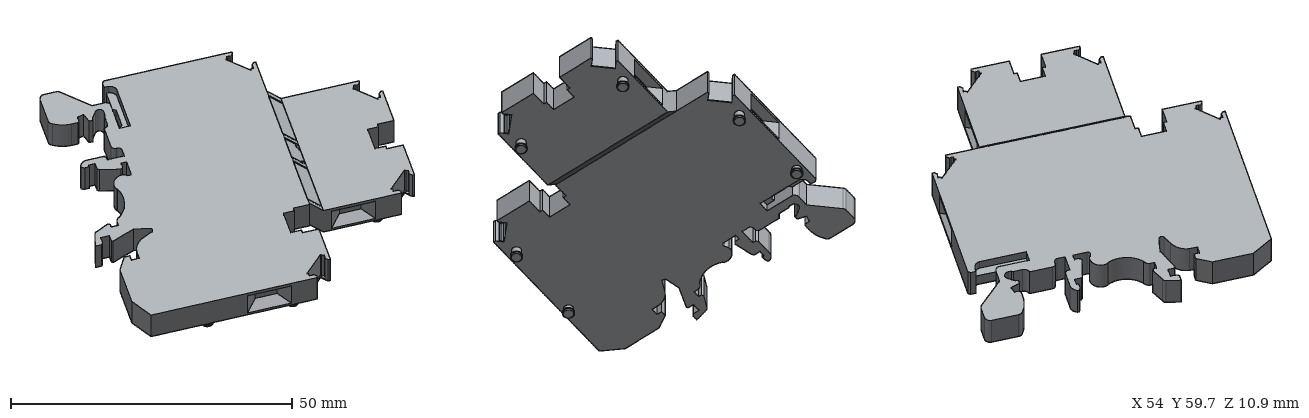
import cadquery as cq
import math


WIDTH = 54.0
HEIGHT = 59.7
THICKNESS = 6.0
LEVEL_STEP = 3.0
BASE_TOP = 39.2
TOWER_WIDTH = 26.85
TOWER_CENTRE = -3.2
RAMP_HEIGHT = 2.6

SIDE = WIDTH / 2
TOWER_SIDE = TOWER_WIDTH / 2
TOWER_FACE = THICKNESS - LEVEL_STEP
RAMP_TOP = BASE_TOP + RAMP_HEIGHT

NOTCH_LIP = 3.4
NOTCH_LIP_FLAT = 0.4
NOTCH_TIP = (4.55, 1.5)
NOTCH_FLOOR = 0.25
UNDERCUT_HALF = [(3.9, 0.9), (4.2, 0.8), (4.65, 0.8), (4.65, 1.25), (4.95, 1.4)]

SLOT_WIDTH = 5.85
SLOT_STEP_DEPTH = 3.05
SLOT_NECK_WIDTH = 4.6
SLOT_DEPTH = 5.1
BASE_SLOT_CENTRE = 13.45

FUNNEL_DROP = 12.3
FUNNEL_WIDTH = 8.1
FUNNEL_INNER_WIDTH = 4.05
FUNNEL_BOTTOM = 0.55
FUNNEL_TOP = 5.3
FUNNEL_FLOOR_RISE = 1.0
FUNNEL_DEPTH = 2.0

RECESS_DEPTH = 0.3
RECESS_CENTRE_HALF = 2.3
RECESS_OUTER = (3.3, 12.4)
RECESS_POCKET_WIDTHS = (1.1, 0.65)
RECESS_POCKET_HEIGHT = 0.6

PIN_DIAMETER = 1.85
PIN_LIP_DIAMETER = 2.2
PIN_LIP_HEIGHT = 0.3
PIN_END_TAPER = 0.2
PIN_LENGTH = 1.95
PIN_SHORT_LENGTH = 1.45
PIN_INSET = 2.0
PIN_SHORT_INSET = 1.45
PIN_DROP = 7.45
PIN_SHORT_Y = 15.8

ROOF = 10.75
CATCH = 5.25
KEEL = 2.6
ARM_TOP = 11.7
ARM_BOTTOM = 9.9

RELEASE_LEFT = -25.55
RELEASE_RIGHT = -15.75
RELEASE_TOP = 13.75
RELEASE_FACE_DEPTH = 1.8

LOBE_CENTRE = (-3.35, 9.15)
LOBE_RADIUS = 2.0
ARCH_CENTRE = (-0.3, 2.6)
ARCH_RADIUS = 5.25


def on_circle(centre, radius, degrees):
    angle = math.radians(degrees)
    return (centre[0] + radius * math.cos(angle), centre[1] + radius * math.sin(angle))


def lines(path, points):
    for x, y in points:
        path = path.lineTo(x, y)
    return path



def trace_right_foot(path):
    path = lines(path, [(SIDE, 5.0), (23.05, KEEL), (15.45, KEEL), (12.85, 4.2), (12.85, CATCH)])
    path = lines(path, [(13.85, CATCH), (13.85, 6.7), (12.4, 6.7)])
    path = path.threePointArc((10.55, 7.4), (9.5, 8.8))
    return path.lineTo(8.7, 10.45)


def trace_right_hook(path):
    path = path.threePointArc((8.25, ROOF), (7.8, 10.45))
    path = lines(path, [(7.15, 7.6), (8.8, 3.35), (8.6, 3.05), (7.4, 3.05), (7.4, 1.45)])
    path = lines(path, [(8.6, 1.45), (9.0, 1.15), (9.0, 0.0), (6.3, 0.65)])
    path = path.threePointArc((6.0, 0.85), (5.85, 1.2))
    path = lines(path, [(4.7, 3.5), (4.95, 3.95), (5.55, 3.95), (5.55, CATCH)])
    path = path.lineTo(4.65, CATCH)
    return path.threePointArc((4.2, 5.45), on_circle(ARCH_CENTRE, ARCH_RADIUS, 40))


def trace_arches(path):
    path = path.threePointArc(
        on_circle(ARCH_CENTRE, ARCH_RADIUS, 75),
        on_circle(ARCH_CENTRE, ARCH_RADIUS, 114),
    )
    path = path.lineTo(*on_circle(LOBE_CENTRE, LOBE_RADIUS, 296))
    path = path.threePointArc(
        on_circle(LOBE_CENTRE, LOBE_RADIUS, 235),
        on_circle(LOBE_CENTRE, LOBE_RADIUS, 175),
    )
    path = path.lineTo(-4.95, 10.0)
    return path.threePointArc((-4.95, 10.5), (-5.4, ROOF))


def trace_centre_hook(path):
    path = lines(path, [(-8.0, ROOF), (-8.0, 9.75), (-7.05, 9.75), (-6.7, 9.3), (-7.65, 5.6)])
    path = lines(path, [(-7.95, CATCH), (-9.2, CATCH), (-9.2, 4.05), (-8.8, 4.05)])
    path = lines(path, [(-8.8, 3.2), (-9.0, KEEL), (-9.4, KEEL)])
    path = path.threePointArc((-10.1, 3.15), (-10.4, 4.1))
    return lines(path, [(-10.4, 7.2), (-10.0, 7.6), (-9.45, 7.65), (-9.45, ROOF)])


def trace_spring_foot(path):
    path = path.lineTo(-10.9, ROOF)
    path = path.threePointArc((-11.35, 10.5), (-11.5, 9.9))
    path = path.threePointArc((-11.7, 9.3), (-12.2, 9.1))
    path = path.lineTo(-16.5, 9.1)
    path = path.threePointArc((-16.85, 9.7), (-17.5, ARM_BOTTOM))
    path = lines(path, [(-19.2, ARM_BOTTOM), (-19.5, 10.1), (-20.2, 10.1)])
    path = path.threePointArc((-20.9, 9.55), (-20.7, 8.7))
    path = lines(path, [(-19.4, 7.75), (-18.85, 7.7), (-18.85, 7.0), (-20.6, 6.45), (-20.3, CATCH)])
    path = lines(path, [(-19.35, CATCH), (-19.1, 5.0), (-19.1, 3.8)])
    path = path.threePointArc((-19.35, 2.15), (-20.1, 0.55))
    path = path.threePointArc((-20.5, 0.1), (-20.95, 0.0))
    path = path.lineTo(-25.95, 0.0)
    path = path.threePointArc((-26.7, 0.3), (-SIDE, 1.1))
    path = path.lineTo(-SIDE, 3.3)
    path = path.threePointArc((-26.9, 3.65), (-26.75, 3.9))
    path = lines(path, [(-22.15, 8.5), (-22.15, 10.6)])
    path = path.threePointArc((-21.95, 11.35), (-21.5, ARM_TOP))
    return path.lineTo(RELEASE_RIGHT, ARM_TOP)


def trace_release_roof(path):
    path = lines(path, [(RELEASE_RIGHT, RELEASE_TOP), (-24.4, RELEASE_TOP)])
    return path.threePointArc((-25.2, 13.3), (RELEASE_LEFT, 12.5))


def trace_release_slot(path):
    path = trace_release_roof(path)
    path = lines(path, [(RELEASE_LEFT, ARM_TOP), (-26.6, ARM_TOP)])
    return path.lineTo(-SIDE, 12.05)


def base_level():
    path = cq.Workplane("XY").moveTo(-SIDE, BASE_TOP).lineTo(SIDE, BASE_TOP)
    path = trace_right_foot(path)
    path = trace_right_hook(path)
    path = trace_arches(path)
    path = trace_centre_hook(path)
    path = trace_spring_foot(path)
    path = trace_release_slot(path)
    return path.close().extrude(THICKNESS)


def release_web():
    """Mid-thickness web that fills the release slot, open along the spring arm."""
    path = cq.Workplane("XY", origin=(0, 0, RELEASE_FACE_DEPTH)).moveTo(RELEASE_LEFT, 12.1)
    path = lines(path, [(-21.75, 12.1), (-21.3, 12.7), (-17.8, 12.7), (-17.25, 12.25), (-17.45, ARM_TOP)])
    path = trace_release_roof(path.lineTo(RELEASE_RIGHT, ARM_TOP))
    return path.close().extrude(THICKNESS - 2 * RELEASE_FACE_DEPTH)



def tower_level():
    side_profile = [
        (BASE_TOP, 0),
        (BASE_TOP, THICKNESS),
        (RAMP_TOP, TOWER_FACE),
        (HEIGHT, TOWER_FACE),
        (HEIGHT, -LEVEL_STEP),
        (RAMP_TOP, -LEVEL_STEP),
    ]
    tower = cq.Workplane("YZ", origin=(TOWER_CENTRE - TOWER_SIDE, 0, 0))
    return tower.polyline(side_profile).close().extrude(TOWER_WIDTH)


def ramp_recess(x_start, x_end):
    """Shallow recess with its floor parallel to the sloped joint."""
    profile = [
        (BASE_TOP, THICKNESS),
        (RAMP_TOP, TOWER_FACE),
        (RAMP_TOP, TOWER_FACE - RECESS_DEPTH),
        (BASE_TOP, THICKNESS - RECESS_DEPTH),
    ]
    recess = cq.Workplane("YZ", origin=(TOWER_CENTRE + x_start, 0, 0))
    return recess.polyline(profile).close().extrude(x_end - x_start)


def ramp_corner_pocket(direction):
    """Flat-bottomed pocket with one slanted side in an upper corner of the centre recess."""
    corner = TOWER_CENTRE + direction * RECESS_CENTRE_HALF
    upper, lower = RECESS_POCKET_WIDTHS
    outline = [
        (0, 0),
        (-direction * upper, 0),
        (-direction * lower, -RECESS_POCKET_HEIGHT),
        (0, -RECESS_POCKET_HEIGHT),
    ]
    pocket = cq.Workplane("XY", origin=(corner, RAMP_TOP, TOWER_FACE - RECESS_DEPTH))
    return pocket.polyline(outline).close().extrude(LEVEL_STEP)



def label_notch(corner_x, corner_y, underside, direction):
    """Diagonal notch in an upper corner; direction is the X sense from the corner into the body."""
    def cutter(half_outline, z_start):
        outline = half_outline + [(drop, inset) for inset, drop in reversed(half_outline)]
        points = [(direction * inset, -drop) for inset, drop in [(0, 0)] + outline]
        profile = cq.Workplane("XY", origin=(corner_x, corner_y, z_start)).polyline(points).close()
        return profile.extrude(underside + THICKNESS - z_start)

    through = cutter([(NOTCH_LIP, 0), (NOTCH_LIP, NOTCH_LIP_FLAT), NOTCH_TIP], underside)
    undercut = cutter(UNDERCUT_HALF, underside + NOTCH_FLOOR)
    return through.union(undercut)


def stepped_slot(centre_x, edge_y, underside):
    slot = cq.Workplane("XY", origin=(centre_x, edge_y, underside))
    mouth = slot.rect(SLOT_WIDTH, 2 * SLOT_STEP_DEPTH).extrude(THICKNESS)
    neck = slot.rect(SLOT_NECK_WIDTH, 2 * SLOT_DEPTH).extrude(THICKNESS)
    return mouth.union(neck)


def wire_funnel(face_x, edge_y, underside, direction):
    """Tapered pocket with a flat ceiling; direction points from the side face into the body."""
    def section(x, width, bottom):
        half = width / 2
        corners = [(-half, bottom), (half, bottom), (half, FUNNEL_TOP), (-half, FUNNEL_TOP)]
        points = [cq.Vector(x, edge_y - FUNNEL_DROP + y, underside + z) for y, z in corners]
        return cq.Wire.makePolygon(points, close=True)

    mouth = section(face_x, FUNNEL_WIDTH, FUNNEL_BOTTOM)
    end = section(
        face_x + direction * FUNNEL_DEPTH,
        FUNNEL_INNER_WIDTH,
        FUNNEL_BOTTOM + FUNNEL_FLOOR_RISE,
    )
    return cq.Workplane(cq.Solid.makeLoft([mouth, end], ruled=True))


def locating_pin(x, y, underside, length):
    """Pin pointing down, with a raised lip and a tapered end."""
    stem = PIN_DIAMETER / 2
    lip = PIN_LIP_DIAMETER / 2
    lip_end = length - PIN_END_TAPER
    lip_start = lip_end - PIN_LIP_HEIGHT
    profile = [
        (0, 0),
        (stem, 0),
        (stem, -lip_start),
        (lip, -lip_start),
        (lip, -lip_end),
        (stem, -length),
        (0, -length),
    ]
    pin = cq.Workplane("XZ").polyline(profile).close().revolve(360, (0, 0, 0), (0, 1, 0))
    return pin.translate((x, y, underside))



result = base_level().union(release_web()).union(tower_level())

for x_start, x_end in [
    (-RECESS_OUTER[1], -RECESS_OUTER[0]),
    (-RECESS_CENTRE_HALF, RECESS_CENTRE_HALF),
    RECESS_OUTER,
]:
    result = result.cut(ramp_recess(x_start, x_end))
for direction in (-1, 1):
    result = result.cut(ramp_corner_pocket(direction))

result = result.cut(stepped_slot(BASE_SLOT_CENTRE, BASE_TOP, 0))
result = result.cut(stepped_slot(TOWER_CENTRE, HEIGHT, -LEVEL_STEP))

for centre_x, half_width, edge_y, underside in [
    (0, SIDE, BASE_TOP, 0),
    (TOWER_CENTRE, TOWER_SIDE, HEIGHT, -LEVEL_STEP),
]:
    for direction in (-1, 1):
        face_x = centre_x - direction * half_width
        pin_x = face_x + direction * PIN_INSET
        result = result.cut(label_notch(face_x, edge_y, underside, direction))
        result = result.cut(wire_funnel(face_x, edge_y, underside, direction))
        result = result.union(locating_pin(pin_x, edge_y - PIN_DROP, underside, PIN_LENGTH))

for direction in (-1, 1):
    pin_x = direction * (SIDE - PIN_SHORT_INSET)
    result = result.union(locating_pin(pin_x, PIN_SHORT_Y, 0, PIN_SHORT_LENGTH))